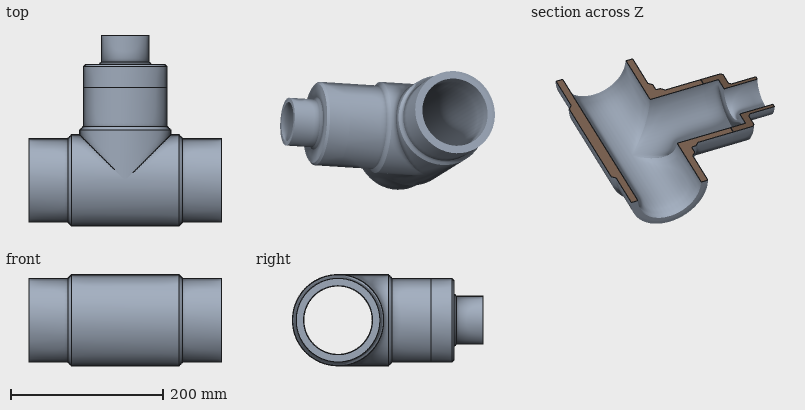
import cadquery as cq

pipe_diameter = 110.0
pipe_bore = 90.0
body_diameter = 120.0
run_length = 253.0
spigot_length = 51.0

branch_end = 122.0
reducer_shoulder = 152.5
reducer_end = 190.5

neck_diameter = 63.0
neck_bore = 51.4
shoulder_chamfer = 3.0
neck_bevel = 3.0

body_chamfer = (body_diameter - pipe_diameter) / 2
body_length = run_length - 2 * spigot_length
branch_body_end = branch_end - spigot_length
shoulder_wall = (pipe_diameter - pipe_bore) / 2
wide_bore_end = reducer_shoulder - shoulder_wall


def cylinder_along_x(diameter, length):
    """Cylinder centred on the origin."""
    return cq.Workplane("YZ").circle(diameter / 2).extrude(length / 2, both=True)


def cylinder_along_y(diameter, start, end):
    """Cylinder on the branch axis between two Y positions."""
    return cq.Workplane("XZ", origin=(0, start, 0)).circle(diameter / 2).extrude(start - end)


def make_tee():
    run_body = cylinder_along_x(body_diameter, body_length).edges().chamfer(body_chamfer)
    run_pipe = cylinder_along_x(pipe_diameter, run_length)
    branch_body = cylinder_along_y(body_diameter, 0, branch_body_end).faces(">Y").chamfer(body_chamfer)
    branch_pipe = cylinder_along_y(pipe_diameter, 0, branch_end)
    run_bore = cylinder_along_x(pipe_bore, run_length)
    branch_bore = cylinder_along_y(pipe_bore, 0, branch_end)

    outside = run_body.union(branch_body).union(run_pipe).union(branch_pipe)
    return outside.cut(run_bore).cut(branch_bore)


def make_reducer():
    barrel_radius = pipe_diameter / 2
    neck_radius = neck_diameter / 2
    outline = (
        cq.Workplane("XY")
        .moveTo(0, branch_end)
        .lineTo(barrel_radius, branch_end)
        .lineTo(barrel_radius, reducer_shoulder - shoulder_chamfer)
        .lineTo(barrel_radius - shoulder_chamfer, reducer_shoulder)
        .lineTo(neck_radius + neck_bevel, reducer_shoulder)
        .lineTo(neck_radius, reducer_shoulder + neck_bevel)
        .lineTo(neck_radius, reducer_end)
        .lineTo(0, reducer_end)
        .close()
    )
    outside = outline.revolve(360, (0, 0, 0), (0, 1, 0))

    wide_bore = cylinder_along_y(pipe_bore, branch_end, wide_bore_end)
    narrow_bore = cylinder_along_y(neck_bore, wide_bore_end, reducer_end)
    return outside.cut(wide_bore).cut(narrow_bore)


tee = make_tee()
reducer = make_reducer()

result = cq.Compound.makeCompound([tee.val(), reducer.val()])